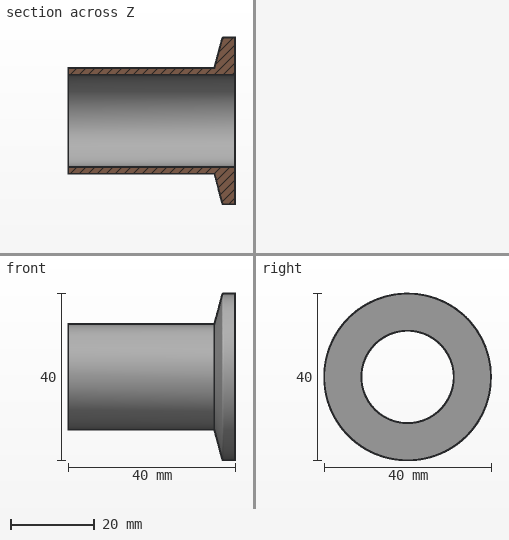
import cadquery as cq
import math

length = 40.0
flange_radius = 40.0 / 2
tube_radius = 25.4 / 2
bore_radius = 22.1 / 2
flange_thickness = 5.0
cone_angle = 15.0
rim_fillet = 0.5

cone_start = length - flange_thickness
cone_end = cone_start + (flange_radius - tube_radius) * math.tan(math.radians(cone_angle))

section = (
    cq.Workplane("XY")
    .moveTo(0, bore_radius)
    .lineTo(0, tube_radius)
    .lineTo(cone_start, tube_radius)
    .lineTo(cone_end, flange_radius)
    .lineTo(length, flange_radius)
    .lineTo(length, bore_radius)
    .close()
)
body = section.revolve(360, (0, 0, 0), (1, 0, 0))

rim_edge = cq.selectors.RadiusNthSelector(-1)
back_edges = body.faces("%CONE").edges("%CIRCLE")
body = back_edges.edges(rim_edge).fillet(rim_fillet)

result = body.translate((-length / 2, 0, 0))